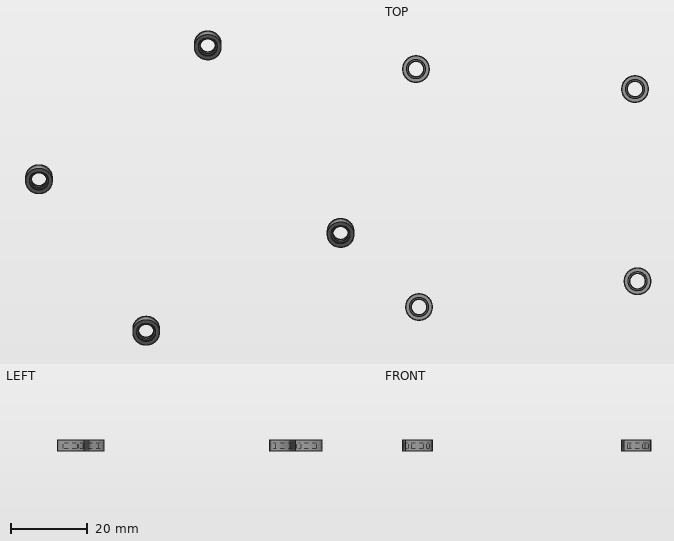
import cadquery as cq

outer_diameter = 7.0
bore_diameter = 4.0
counterbore_diameter = 5.0
height = 3.0
counterbore_depth = 0.75

overall_x = 64.7
overall_y = 69.0
reach_x = (overall_x - outer_diameter) / 2
reach_y = (overall_y - outer_diameter) / 2
back_right_x = 28.2
front_left_x = -28.1
back_right_y = 25.8
front_right_y = -24.3

ring_centres = [
    (-reach_x, reach_y),
    (back_right_x, back_right_y),
    (reach_x, front_right_y),
    (front_left_x, -reach_y),
]


def make_ring(centre):
    """Plain ring standing on Z = 0, its bore counterbored from both ends."""
    ring = cq.Workplane("XY").circle(outer_diameter / 2).circle(bore_diameter / 2).extrude(height)
    for recess_bottom in (0, height - counterbore_depth):
        recess = (
            cq.Workplane("XY")
            .workplane(offset=recess_bottom)
            .circle(counterbore_diameter / 2)
            .extrude(counterbore_depth)
        )
        ring = ring.cut(recess)
    return ring.translate((*centre, 0))


rings = [make_ring(centre).val() for centre in ring_centres]

result = cq.Compound.makeCompound(rings)